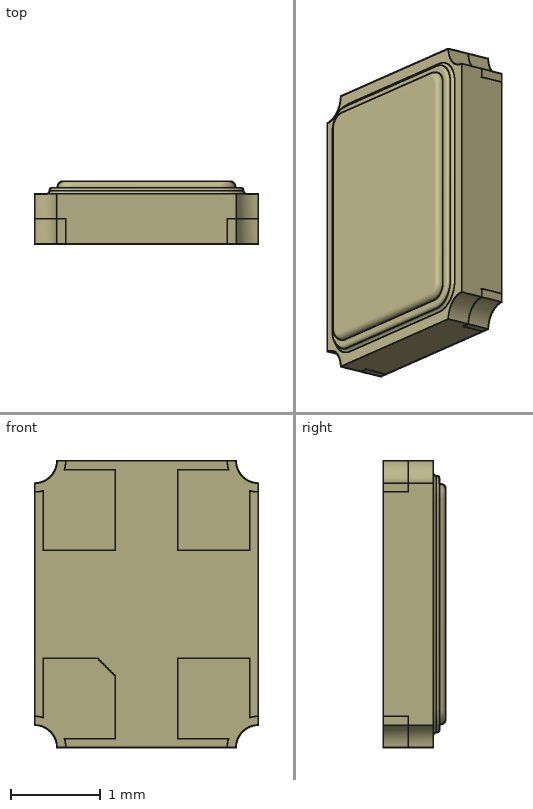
import cadquery as cq


width = 2.5
length = 3.2
housing_depth = 0.56
castellation_radius = 0.25

pad_inset = 0.1
pad_width = 0.8
pad_length = 0.9
pad_depth = housing_depth / 2
index_chamfer = 0.2

corner_centre_inset = 0.42
flange_inset = 0.165
cap_inset = 0.255
seal_height = 0.035
flange_height = 0.035
seal_inset = flange_inset - seal_height
cap_height = 0.07
cap_fillet = 0.065

seal_base = housing_depth
flange_base = seal_base + seal_height
cap_base = flange_base + flange_height

corner_signs = [(sx, sz) for sx in (-1, 1) for sz in (-1, 1)]
index_corner = (-1, -1)


def plane_at(y):
    """Workplane parallel to the pad face; its local axes are X and Z."""
    return cq.Workplane("XZ", origin=(0, y, 0))


def rounded_plate(inset, y, height):
    """Plate set in from the housing edges, from Y = y to y + height."""
    plate = plane_at(y).rect(width - 2 * inset, length - 2 * inset).extrude(-height)
    return plate.edges("|Y").fillet(corner_centre_inset - inset)


def make_pad(sx, sz):
    """Pad at one corner, joined to a band that lines the lower half of the castellation."""
    corner_x = sx * width / 2
    corner_z = sz * length / 2
    inner_x = corner_x - sx * (pad_inset + pad_width)
    inner_z = corner_z - sz * (pad_inset + pad_length)
    outer_x = corner_x - sx * pad_inset
    outer_z = corner_z - sz * pad_inset

    outline = [(outer_x, outer_z), (outer_x, inner_z)]
    if (sx, sz) == index_corner:
        outline.append((inner_x + sx * index_chamfer, inner_z))
        outline.append((inner_x, inner_z + sz * index_chamfer))
    else:
        outline.append((inner_x, inner_z))
    outline.append((inner_x, outer_z))
    pad = plane_at(0).polyline(outline).close().extrude(-pad_depth)

    at_corner = plane_at(0).center(corner_x, corner_z)
    band = at_corner.circle(castellation_radius + pad_inset).extrude(-pad_depth)
    castellation = at_corner.circle(castellation_radius).extrude(-pad_depth)
    package = plane_at(0).rect(width, length).extrude(-pad_depth)
    return pad.union(band).cut(castellation).intersect(package)


def make_housing(pads):
    """Block with a quarter-round castellation in each corner and recesses for the pads."""
    housing = plane_at(0).rect(width, length).extrude(-housing_depth)
    castellations = (
        plane_at(0)
        .rect(width, length, forConstruction=True)
        .vertices()
        .circle(castellation_radius)
        .extrude(-housing_depth)
    )
    housing = housing.cut(castellations)
    for pad in pads:
        housing = housing.cut(pad)
    return housing


def make_seal():
    """Thin seal whose concave rim flares out from the flange edge to the housing."""
    plate = rounded_plate(seal_inset, seal_base, seal_height)
    rim = plate.faces(">Y").wires().val()
    rim_point = (width / 2 - seal_inset, flange_base, 0)
    groove = cq.Workplane("XY", origin=rim_point).circle(seal_height).sweep(cq.Workplane(rim))
    return plate.cut(groove)


def make_flange():
    """Plate whose side is one convex quarter round, upright at the seal and level at the top."""
    deep_plate = rounded_plate(flange_inset, flange_base - flange_height, 2 * flange_height)
    deep_plate = deep_plate.faces(">Y").edges().fillet(flange_height)
    return deep_plate.intersect(rounded_plate(flange_inset, flange_base, flange_height))


def make_cap():
    """Raised lid with a rounded upper edge above a narrow upright side."""
    return rounded_plate(cap_inset, cap_base, cap_height).faces(">Y").edges().fillet(cap_fillet)


pads = [make_pad(sx, sz) for sx, sz in corner_signs]
housing = make_housing(pads)
seal = make_seal()
flange = make_flange()
cap = make_cap()
result = cq.Compound.makeCompound(
    [housing.val(), *[pad.solids().val() for pad in pads], seal.val(), flange.val(), cap.val()]
)